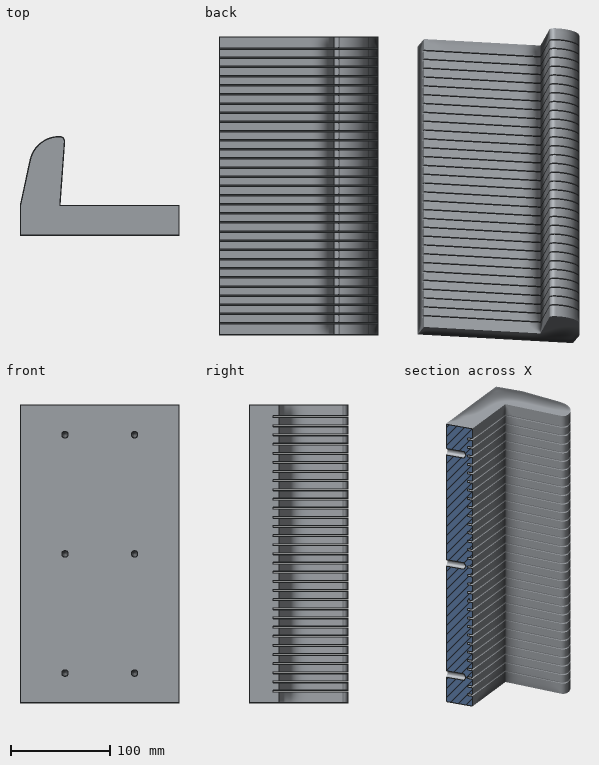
import cadquery as cq
import math

plate_length = 160.0
section_depth = 99.4
height = 300.0
plate_thickness = 30.0

lip_root_width = 40.0
lip_outer_lean = 15.0
lip_inner_lean = 5.0
outer_crest_radius = 30.0
inner_crest_radius = 5.0

slot_count = 31
slot_pitch = 9.21
slot_width = 1.5
slot_floor = 24.0

hole_diameter = 6.5
hole_depth = 20.0
drill_point_angle = 118.0
hole_spacing_x = 70.0
hole_spacing_z = 120.0
hole_columns = 2
hole_rows = 3


def make_body():
    """Extrude the L section from Z = 0 and round the two crest edges of the lip."""
    outer_crest = (lip_outer_lean, section_depth)
    inner_crest = (lip_root_width + lip_inner_lean, section_depth)
    outline = [
        (0, 0),
        (plate_length, 0),
        (plate_length, plate_thickness),
        (lip_root_width, plate_thickness),
        inner_crest,
        outer_crest,
        (0, plate_thickness),
    ]
    body = cq.Workplane("XY").polyline(outline).close().extrude(height)
    mid_height = height / 2
    body = body.edges(cq.NearestToPointSelector((*outer_crest, mid_height))).fillet(outer_crest_radius)
    return body.edges(cq.NearestToPointSelector((*inner_crest, mid_height))).fillet(inner_crest_radius)


def centered_positions(count, pitch, center):
    """Evenly spaced positions, symmetric about the center."""
    start = center - pitch * (count - 1) / 2
    return [start + pitch * index for index in range(count)]


def make_slots():
    """Cutters for the slots: full length along X, open toward +Y, stacked along Z."""
    slot_centers = [
        (plate_length / 2, (slot_floor + section_depth) / 2, z)
        for z in centered_positions(slot_count, slot_pitch, height / 2)
    ]
    return (
        cq.Workplane("XY")
        .pushPoints(slot_centers)
        .box(plate_length, section_depth - slot_floor, slot_width)
    )


def make_hole(x, z):
    """Cylinder with a conical drill point, entering from the front face at Y = 0."""
    radius = hole_diameter / 2
    point_depth = radius / math.tan(math.radians(drill_point_angle / 2))
    half_profile = [
        (x, 0),
        (x + radius, 0),
        (x + radius, hole_depth),
        (x, hole_depth + point_depth),
    ]
    return (
        cq.Workplane("XY", origin=(0, 0, z))
        .polyline(half_profile)
        .close()
        .revolve(360, (x, 0), (x, 1))
    )


result = make_body().cut(make_slots())

for hole_x in centered_positions(hole_columns, hole_spacing_x, plate_length / 2):
    for hole_z in centered_positions(hole_rows, hole_spacing_z, height / 2):
        result = result.cut(make_hole(hole_x, hole_z))